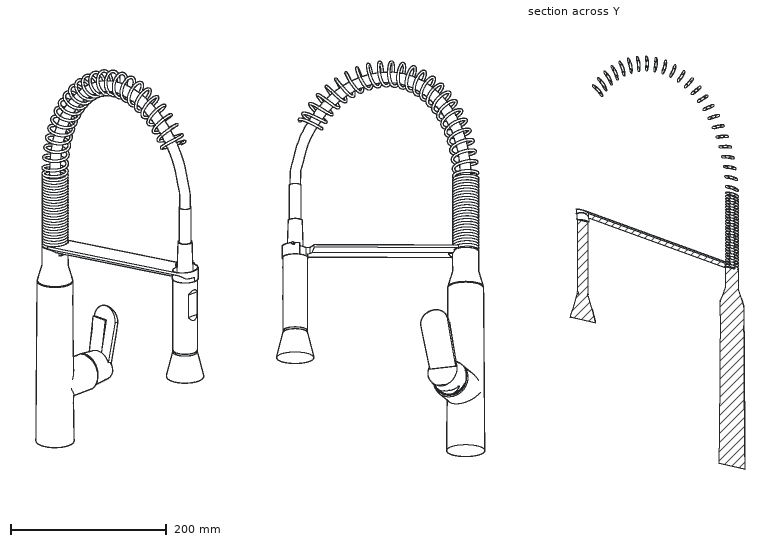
import cadquery as cq
import math

TOTAL_LENGTH = 282.15
TOTAL_DEPTH = 110.87
TOTAL_HEIGHT = 538.53

BASE_RADIUS = 24.75
BODY_TOP_RADIUS = 23.25
BODY_HEIGHT = 220.0
SEAM_HEIGHT = 1.2
SEAM_DEPTH = 0.6
CONE_TOP = 241.5
SLEEVE_RADIUS = 17.0
SLEEVE_TOP = 269.0

SPRING_RADIUS = 17.0
WIRE_RADIUS = 1.75
COIL_RADIUS = SPRING_RADIUS - WIRE_RADIUS
DENSE_TOP = 367.0
DENSE_TURNS = 26
FIRST_TURN_PITCH = 6.7
TURNS_TO_APEX = 16
OPEN_TURNS = 24
LAST_TURN_PITCH = 7.5
DENSE_START = SLEEVE_TOP + 0.5 * WIRE_RADIUS
DENSE_PITCH = (DENSE_TOP - DENSE_START) / DENSE_TURNS
ARC_PAIRS_PER_TURN = 4
TANGENT_STEP = 0.01
ARCH_STEPS = 200

HOSE_RADIUS = 7.0
FERRULE_RADIUS = 15.5 / 2
FERRULE_TOP = 385.2
NECK_TOP_RADIUS = 9.2
NECK_TOP = 337.7
NECK_BOTTOM_RADIUS = 10.8
HEAD_RADIUS = 16.0
HEAD_TOP = 287.3
HEAD_SEAM_TOP = 189.0
HEAD_SEAM_BOTTOM = 186.5
BELL_RADIUS = 24.0
BELL_RIM_TOP = 154.0
HEAD_BOTTOM = 152.3
HEAD_X = TOTAL_LENGTH - BASE_RADIUS - BELL_RADIUS
BUTTON_DEPTH = 2.2
BUTTON_TOP = 276.0
BUTTON_BOTTOM = 234.0
BUTTON_RAMP = 5.5

ARCH_HALF_SPAN = HEAD_X / 2
SPRING_APEX = TOTAL_HEIGHT - SPRING_RADIUS
HOSE_SAG = 4.5
HOSE_APEX = SPRING_APEX - HOSE_SAG
HOSE_LEFT_FOOT = 370.0
HOSE_STEPS = 16
SPRING_RIGHT_FOOT = FERRULE_TOP + HOSE_SAG

ARM_TOP_AT_COLUMN = 272.6
ARM_RISE = 29.5
ARM_HALF_WIDTH = 17.0
ARM_EDGE_THICKNESS = 3.5
ARM_THICKNESS = 8.7
ARM_KEEL_HALF_WIDTH = 11.0
ARM_FAR_EDGE_END = 201.0
ARM_CUT_X = 211.0
ARM_CUT_Y = 5.0
RING_OUTER_RADIUS = 17.0
SKIRT_RADIUS = 16.6
RING_INNER_RADIUS = 31.77 / 2
RING_TOP = 302.7
RING_MOUTH_X = HEAD_X - 11.0
SPRING_CLEARANCE = 0.3
GUSSET_DEPTH = 8.0
GUSSET_END = 20.5
GUSSET_WIDTH = 16.0
GUSSET_OVERLAP = 1.0
PIN_RADIUS = 1.5
PIN_X = HEAD_X - 4.0
PIN_Z = 301.0
PIN_END_Y = 20.2

HOUSING_RADIUS = 23.7
HOUSING_Z = 79.6
HOUSING_END = 54.5
COLLAR_INSET = 2.0
CAP_START = 56.0
CAP_END = TOTAL_DEPTH - BASE_RADIUS
CAP_START_RADIUS = 22.5
CAP_END_RADIUS = 20.0
CAP_Z = 81.3
CAP_TOP = 106.0
CAP_BOTTOM = 60.2
CAP_BEVEL_TOP_Y = 79.0
CAP_BEVEL_END = (84.5, 84.0)
CAP_FACE_TOP = 76.0
CAP_FACE_BOTTOM = 62.5
CAP_LOWER_BEVEL_Y = 84.0
NOTCH_END_Y = 67.0
NOTCH_PEAK = (64.0, 66.0)
NOTCH_START_Z = 58.0

LEVER_BACK = 79.0
LEVER_FRONT = 85.0
LEVER_TIP_FRONT = 84.0
LEVER_CREST_BACK = 81.5
LEVER_CREST_FRONT = 82.5
LEVER_FOOT = 86.0
LEVER_FOOT_LEFT = -18.0
LEVER_FOOT_RIGHT = 17.5
LEVER_TAPER_START = 130.0
LEVER_SHOULDER = 148.5
LEVER_SHOULDER_LEFT = -7.0
LEVER_SHOULDER_RIGHT = 30.5
LEVER_TIP_START = 160.0
LEVER_TOP = 166.3
LEVER_TOP_X = 13.5
PAD_FOOT = 100.0
PAD_FOOT_LEFT = -15.5
PAD_FOOT_RIGHT = 6.0
PAD_TOP_RIGHT = 15.0
PAD_DEPTH = 2.3
PAD_OVERLAP = 1.0


def revolve_about_z(points, x):
    """Solid of revolution of (radius, z) points about a vertical axis at the given x."""
    profile = cq.Workplane("XZ").polyline(points).close()
    return profile.revolve(360, (0, 0), (0, 1)).translate((x, 0, 0))


def make_column():
    """Tapered body, seam groove, cone and the sleeve that carries the spring."""
    groove_radius = BODY_TOP_RADIUS - SEAM_DEPTH
    cone_start = BODY_HEIGHT + SEAM_HEIGHT
    return revolve_about_z(
        [
            (0, 0),
            (BASE_RADIUS, 0),
            (BODY_TOP_RADIUS, BODY_HEIGHT),
            (groove_radius, BODY_HEIGHT),
            (groove_radius, cone_start),
            (BODY_TOP_RADIUS - SEAM_DEPTH / 2, cone_start),
            (SLEEVE_RADIUS, CONE_TOP),
            (SLEEVE_RADIUS, SLEEVE_TOP),
            (0, SLEEVE_TOP),
        ],
        0,
    )


def arch_point(angle, apex, left_foot, right_foot):
    """Point (x, z) of an arch of two quarter ellipses; angle 0 is the left foot, pi the right one."""
    foot = left_foot if angle < math.pi / 2 else right_foot
    x = ARCH_HALF_SPAN * (1 - math.cos(angle))
    z = foot + (apex - foot) * math.sin(angle)
    return x, z


def make_hose():
    """Hose from the column top over the arch, down into the ferrule."""
    points = []
    for step in range(HOSE_STEPS + 1):
        x, z = arch_point(math.pi * step / HOSE_STEPS, HOSE_APEX, HOSE_LEFT_FOOT, FERRULE_TOP)
        points.append(cq.Vector(x, 0, z))
    up = cq.Vector(0, 0, 1)
    down = cq.Vector(0, 0, -1)
    riser = cq.Workplane("XY").workplane(offset=SLEEVE_TOP).circle(HOSE_RADIUS)
    riser = riser.extrude(HOSE_LEFT_FOOT - SLEEVE_TOP)
    path = cq.Workplane(cq.Edge.makeSpline(points, tangents=[up, down]))
    arch = cq.Workplane("XY").workplane(offset=HOSE_LEFT_FOOT).circle(HOSE_RADIUS).sweep(path)
    return riser.union(arch)


def arch_lengths():
    """Arc length of the spring axis from the left foot at evenly spaced arch angles."""
    lengths = [0]
    last = (0, DENSE_TOP)
    for step in range(1, ARCH_STEPS + 1):
        point = arch_point(math.pi * step / ARCH_STEPS, SPRING_APEX, DENSE_TOP, SPRING_RIGHT_FOOT)
        lengths.append(lengths[-1] + math.dist(point, last))
        last = point
    return lengths


def arch_angle(lengths, length):
    """Arch angle at which the spring axis has the given arc length."""
    step = 1
    while lengths[step] < length:
        step += 1
    part = (length - lengths[step - 1]) / (lengths[step] - lengths[step - 1])
    return math.pi * (step - 1 + part) / ARCH_STEPS


def spring_point(turn, lengths):
    """Wire centre after a number of turns; negative turns are the closely wound part."""
    outward = COIL_RADIUS * math.cos(2 * math.pi * turn)
    y = -COIL_RADIUS * math.sin(2 * math.pi * turn)
    if turn < 0:
        return cq.Vector(-outward, y, DENSE_TOP + DENSE_PITCH * turn)
    open_pitch = (lengths[ARCH_STEPS // 2] - FIRST_TURN_PITCH) / (TURNS_TO_APEX - 1)
    first_part = min(turn, 1)
    last_part = max(turn - OPEN_TURNS, 0)
    open_part = turn - first_part - last_part
    length = FIRST_TURN_PITCH * first_part + open_pitch * open_part + LAST_TURN_PITCH * last_part
    angle = arch_angle(lengths, length)
    x, z = arch_point(angle, SPRING_APEX, DENSE_TOP, SPRING_RIGHT_FOOT)
    foot = DENSE_TOP if angle < math.pi / 2 else SPRING_RIGHT_FOOT
    along_x = ARCH_HALF_SPAN * math.sin(angle)
    along_z = (SPRING_APEX - foot) * math.cos(angle)
    size = math.hypot(along_x, along_z)
    return cq.Vector(x - outward * along_z / size, y, z + outward * along_x / size)


def tangent_arcs(start, start_direction, end, end_direction):
    """Two arcs that join two points smoothly, with the given unit directions at the ends."""
    chord = end - start
    spread = 2 * (1 - start_direction.dot(end_direction))
    reach = chord.dot(start_direction + end_direction)
    handle = (math.sqrt(reach**2 + spread * chord.dot(chord)) - reach) / spread
    middle = (start + start_direction * handle + end - end_direction * handle) * 0.5
    first = cq.Edge.makeTangentArc(start, start_direction, middle)
    second = cq.Edge.makeTangentArc(middle, first.tangentAt(1), end)
    return [first, second]


def make_spring():
    """One right-handed wire: closely wound on the column, then open over the arch."""
    lengths = arch_lengths()
    points = []
    directions = []
    for step in range((DENSE_TURNS + OPEN_TURNS + 1) * ARC_PAIRS_PER_TURN + 1):
        turn = step / ARC_PAIRS_PER_TURN - DENSE_TURNS
        points.append(spring_point(turn, lengths))
        ahead = spring_point(turn + TANGENT_STEP, lengths)
        behind = spring_point(turn - TANGENT_STEP, lengths)
        directions.append((ahead - behind).normalized())
    arcs = []
    for i in range(len(points) - 1):
        arcs += tangent_arcs(points[i], directions[i], points[i + 1], directions[i + 1])
    start = cq.Plane(origin=points[0], normal=directions[0])
    path = cq.Workplane(cq.Wire.assembleEdges(arcs))
    return cq.Workplane(start).circle(WIRE_RADIUS).sweep(path)


def make_spray_head():
    """Ferrule, tapered neck, handle with a seam groove and a button recess, and flared bell."""
    groove_radius = HEAD_RADIUS - SEAM_DEPTH
    head = revolve_about_z(
        [
            (0, HEAD_BOTTOM),
            (BELL_RADIUS, HEAD_BOTTOM),
            (BELL_RADIUS, BELL_RIM_TOP),
            (HEAD_RADIUS, HEAD_SEAM_BOTTOM),
            (groove_radius, HEAD_SEAM_BOTTOM),
            (groove_radius, HEAD_SEAM_TOP),
            (HEAD_RADIUS, HEAD_SEAM_TOP),
            (HEAD_RADIUS, HEAD_TOP),
            (NECK_BOTTOM_RADIUS, HEAD_TOP),
            (NECK_TOP_RADIUS, NECK_TOP),
            (FERRULE_RADIUS, NECK_TOP),
            (FERRULE_RADIUS, FERRULE_TOP),
            (0, FERRULE_TOP),
        ],
        HEAD_X,
    )
    face_x = HEAD_X + HEAD_RADIUS
    floor_x = face_x - BUTTON_DEPTH
    button = cq.Workplane("XZ").polyline(
        [
            (face_x, BUTTON_BOTTOM),
            (floor_x, BUTTON_BOTTOM + BUTTON_RAMP),
            (floor_x, BUTTON_TOP - BUTTON_RAMP),
            (face_x, BUTTON_TOP),
        ]
    ).close().extrude(HEAD_RADIUS, both=True)
    return head.cut(button)


def make_plate(run):
    """Sloping plate with a keel, rounded around the spray head at its far end."""
    edge_z = ARM_TOP_AT_COLUMN - ARM_EDGE_THICKNESS
    keel_z = ARM_TOP_AT_COLUMN - ARM_THICKNESS
    section = cq.Wire.makePolygon(
        [
            cq.Vector(0, -ARM_HALF_WIDTH, ARM_TOP_AT_COLUMN),
            cq.Vector(0, ARM_HALF_WIDTH, ARM_TOP_AT_COLUMN),
            cq.Vector(0, ARM_HALF_WIDTH, edge_z),
            cq.Vector(0, ARM_KEEL_HALF_WIDTH, keel_z),
            cq.Vector(0, -ARM_KEEL_HALF_WIDTH, keel_z),
            cq.Vector(0, -ARM_HALF_WIDTH, edge_z),
        ],
        close=True,
    )
    bar = cq.Workplane(cq.Solid.extrudeLinear(section, [], cq.Vector(run, 0, ARM_RISE)))
    outline = cq.Workplane("XY").polyline(
        [
            (0, -ARM_HALF_WIDTH),
            (HEAD_X, -ARM_HALF_WIDTH),
            (HEAD_X, 0),
            (ARM_CUT_X, ARM_CUT_Y),
            (ARM_FAR_EDGE_END, ARM_HALF_WIDTH),
            (0, ARM_HALF_WIDTH),
        ]
    ).close().extrude(TOTAL_HEIGHT)
    rim = cq.Workplane("XY").moveTo(HEAD_X, -RING_OUTER_RADIUS)
    rim = rim.threePointArc((run, 0), (HEAD_X, RING_OUTER_RADIUS)).close().extrude(TOTAL_HEIGHT)
    return bar.intersect(outline.union(rim))


def make_ring(run):
    """Skirt below the plate's slope, and the level hook on its +Y side."""
    near_x = HEAD_X - RING_OUTER_RADIUS
    far_top = ARM_TOP_AT_COLUMN + ARM_RISE
    near_top = ARM_TOP_AT_COLUMN + ARM_RISE * near_x / run
    side = cq.Workplane("XZ").polyline(
        [(near_x, HEAD_TOP), (run, HEAD_TOP), (run, far_top), (near_x, near_top)]
    ).close().extrude(RING_OUTER_RADIUS, both=True)
    skirt = cq.Workplane("XY").center(HEAD_X, 0).circle(SKIRT_RADIUS).extrude(TOTAL_HEIGHT)
    skirt = skirt.intersect(side)

    hook = cq.Workplane("XY").workplane(offset=HEAD_TOP)
    hook = hook.center(HEAD_X, 0).circle(RING_OUTER_RADIUS).extrude(RING_TOP - HEAD_TOP)
    hook_side = cq.Workplane("XY").box(run - RING_MOUTH_X, RING_OUTER_RADIUS, TOTAL_HEIGHT, centered=False)
    hook = hook.intersect(hook_side.translate((RING_MOUTH_X, 0, 0)))
    return skirt.union(hook)


def make_gusset():
    """Small support under the plate where it leaves the column."""
    bottom = SLEEVE_TOP - GUSSET_DEPTH
    top = SLEEVE_TOP - GUSSET_OVERLAP
    return cq.Workplane("XZ").polyline(
        [
            (0, bottom),
            (SLEEVE_RADIUS, bottom),
            (GUSSET_END, SLEEVE_TOP - GUSSET_DEPTH / 2),
            (GUSSET_END, top),
            (0, top),
        ]
    ).close().extrude(GUSSET_WIDTH / 2, both=True)


def make_arm():
    """Bracket with plate, ring, stop pin and gusset, cleared for the spray head and the spring."""
    run = HEAD_X + RING_OUTER_RADIUS
    pin = cq.Workplane("XZ").center(PIN_X, PIN_Z).circle(PIN_RADIUS).extrude(-PIN_END_Y)
    arm = make_plate(run).union(make_ring(run)).union(pin).union(make_gusset())

    bore = cq.Workplane("XY").workplane(offset=HEAD_TOP).center(HEAD_X, 0)
    bore = bore.circle(RING_INNER_RADIUS).extrude(TOTAL_HEIGHT)
    handle_space = cq.Workplane("XY").center(HEAD_X, 0).circle(HEAD_RADIUS).extrude(HEAD_TOP)
    spring_space = cq.Workplane("XY").workplane(offset=SLEEVE_TOP)
    spring_space = spring_space.circle(SPRING_RADIUS + SPRING_CLEARANCE).extrude(TOTAL_HEIGHT)
    return arm.cut(bore).cut(handle_space).cut(spring_space)


def make_housing():
    """Horizontal housing with a tapered cap, notched below and bevelled at its free end."""
    housing = cq.Workplane("XZ").center(0, HOUSING_Z).circle(HOUSING_RADIUS).extrude(-HOUSING_END)
    collar = cq.Workplane("XZ").center(0, HOUSING_Z).circle(HOUSING_RADIUS - COLLAR_INSET)
    collar = collar.extrude(-(CAP_START + 1))
    cone = cq.Workplane("XY").polyline(
        [(0, CAP_START), (CAP_START_RADIUS, CAP_START), (CAP_END_RADIUS, CAP_END), (0, CAP_END)]
    ).close().revolve(360, (0, 0), (0, 1)).translate((0, 0, CAP_Z))
    side = cq.Workplane("YZ").polyline(
        [
            (CAP_START, CAP_TOP),
            (CAP_BEVEL_TOP_Y, CAP_TOP),
            CAP_BEVEL_END,
            (CAP_END, CAP_FACE_TOP),
            (CAP_END, CAP_FACE_BOTTOM),
            (CAP_LOWER_BEVEL_Y, CAP_BOTTOM),
            (NOTCH_END_Y, CAP_BOTTOM),
            NOTCH_PEAK,
            (CAP_START, NOTCH_START_Z),
        ]
    ).close().extrude(CAP_START_RADIUS, both=True)
    return housing.union(collar).union(cone.intersect(side))


def make_lever():
    """Flat lever leaning towards +X, with a rounded thinner tip and a pad on its inner face."""
    outline = (
        cq.Workplane("XZ")
        .moveTo(LEVER_FOOT_LEFT, LEVER_FOOT)
        .lineTo(LEVER_FOOT_RIGHT, LEVER_FOOT)
        .lineTo(LEVER_SHOULDER_RIGHT, LEVER_SHOULDER)
        .threePointArc((LEVER_TOP_X, LEVER_TOP), (LEVER_SHOULDER_LEFT, LEVER_SHOULDER))
        .close()
    )
    side = cq.Workplane("YZ").polyline(
        [
            (LEVER_BACK, 0),
            (LEVER_FRONT, 0),
            (LEVER_FRONT, LEVER_TAPER_START),
            (LEVER_TIP_FRONT, LEVER_TIP_START),
            (LEVER_CREST_FRONT, LEVER_TOP),
            (LEVER_CREST_BACK, LEVER_TOP),
            (LEVER_BACK, LEVER_SHOULDER),
        ]
    ).close().extrude(TOTAL_LENGTH, both=True)
    lever = outline.extrude(-LEVER_FRONT).intersect(side)

    pad_side = cq.Workplane("YZ").polyline(
        [
            (LEVER_BACK + PAD_OVERLAP, PAD_FOOT),
            (LEVER_BACK, PAD_FOOT),
            (LEVER_BACK - PAD_DEPTH, LEVER_SHOULDER),
            (LEVER_BACK + PAD_OVERLAP, LEVER_SHOULDER),
        ]
    ).close().extrude(TOTAL_LENGTH, both=True)
    pad = cq.Workplane("XZ").polyline(
        [
            (PAD_FOOT_LEFT, PAD_FOOT),
            (PAD_FOOT_RIGHT, PAD_FOOT),
            (PAD_TOP_RIGHT, LEVER_SHOULDER),
            (LEVER_SHOULDER_LEFT, LEVER_SHOULDER),
        ]
    ).close().extrude(-LEVER_FRONT)
    return lever.union(pad.intersect(pad_side))


result = make_column()
for piece in (make_housing(), make_lever(), make_hose(), make_spray_head(), make_arm(), make_spring()):
    result = result.union(piece)